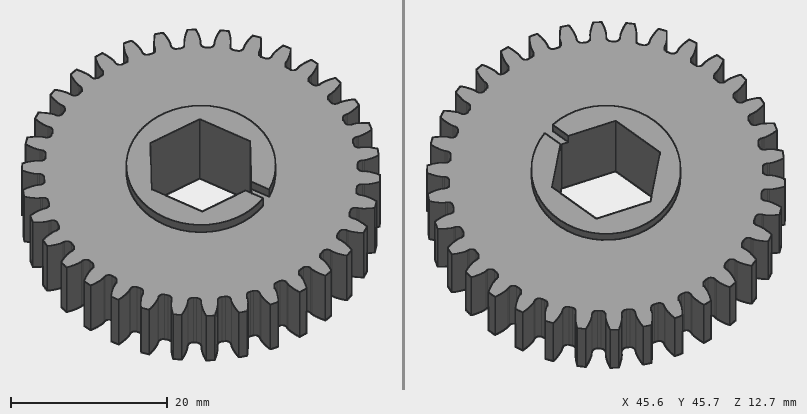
import cadquery as cq
import math

INCH = 25.4

TOOTH_COUNT = 34
DIAMETRAL_PITCH = 20
MODULE = INCH / DIAMETRAL_PITCH
PRESSURE_ANGLE = math.radians(14.5)
BACKLASH_ANGLE = math.radians(0.2)
DEDENDUM = 1.25 * MODULE
ROOT_FILLET = 0.65
FLANK_POINTS = 6

PITCH_RADIUS = MODULE * TOOTH_COUNT / 2
TIP_RADIUS = PITCH_RADIUS + MODULE
ROOT_RADIUS = PITCH_RADIUS - DEDENDUM
BASE_RADIUS = PITCH_RADIUS * math.cos(PRESSURE_ANGLE)
TOOTH_PITCH = 2 * math.pi / TOOTH_COUNT

TOTAL_HEIGHT = 12.65
GEAR_WIDTH = 0.375 * INCH
HUB_HEIGHT = (TOTAL_HEIGHT - GEAR_WIDTH) / 2
HUB_DIAMETER = 0.75 * INCH
HEX_SIDES = 6
HEX_ACROSS_FLATS = 12.75
SLOT_WIDTH = INCH / 16


def polar(radius, angle):
    """Plane point at a radius and an angle about the gear axis."""
    return (radius * math.cos(angle), radius * math.sin(angle))


def involute(angle):
    """Involute function of a pressure angle."""
    return math.tan(angle) - angle


def half_tooth_angle(radius):
    """Half of the angle a tooth spans between its involute flanks at a radius."""
    half_at_pitch = (TOOTH_PITCH / 2 - BACKLASH_ANGLE) / 2
    local_pressure_angle = math.acos(min(1, BASE_RADIUS / radius))
    return half_at_pitch + involute(PRESSURE_ANGLE) - involute(local_pressure_angle)


def gear_outline():
    """Closed outline: involute flanks, radial below the base circle, filleted into the root circle."""
    base_half = half_tooth_angle(BASE_RADIUS)
    tip_half = half_tooth_angle(TIP_RADIUS)

    fillet_center_radius = ROOT_RADIUS + ROOT_FILLET
    fillet_angle = math.asin(ROOT_FILLET / fillet_center_radius)
    fillet_top_radius = fillet_center_radius * math.cos(fillet_angle)
    root_half = base_half + fillet_angle
    middle_turn = (math.pi / 2 - fillet_angle) / 2

    tip_roll = math.sqrt((TIP_RADIUS / BASE_RADIUS) ** 2 - 1)
    roll_step = tip_roll / (FLANK_POINTS - 1)
    flank_radii = [BASE_RADIUS * math.hypot(1, i * roll_step) for i in range(FLANK_POINTS)]

    def fillet_middle(axis, side):
        """Middle point of the fillet arc on one side of a tooth."""
        center_angle = axis + side * root_half
        center = polar(fillet_center_radius, center_angle)
        offset = polar(ROOT_FILLET, center_angle + math.pi + side * middle_turn)
        return (center[0] + offset[0], center[1] + offset[1])

    first_axis = math.pi / 2
    outline = cq.Workplane("XY").workplane(offset=-GEAR_WIDTH / 2)
    outline = outline.moveTo(*polar(ROOT_RADIUS, first_axis - root_half))
    for i in range(TOOTH_COUNT):
        axis = first_axis + i * TOOTH_PITCH
        rising = [polar(r, axis - half_tooth_angle(r)) for r in flank_radii]
        falling = [polar(r, axis + half_tooth_angle(r)) for r in reversed(flank_radii)]
        rising_base = axis - base_half
        falling_base = axis + base_half
        rising_ends = [polar(1, rising_base), polar(1, rising_base + tip_roll)]
        falling_ends = [polar(-1, falling_base - tip_roll), polar(-1, falling_base)]
        next_gap = axis + TOOTH_PITCH / 2
        next_root = axis + TOOTH_PITCH - root_half
        outline = (
            outline
            .threePointArc(fillet_middle(axis, -1), polar(fillet_top_radius, rising_base))
            .lineTo(*rising[0])
            .spline(rising[1:], tangents=rising_ends, includeCurrent=True)
            .threePointArc(polar(TIP_RADIUS, axis), polar(TIP_RADIUS, axis + tip_half))
            .spline(falling[1:], tangents=falling_ends, includeCurrent=True)
            .lineTo(*polar(fillet_top_radius, falling_base))
            .threePointArc(fillet_middle(axis, 1), polar(ROOT_RADIUS, axis + root_half))
            .threePointArc(polar(ROOT_RADIUS, next_gap), polar(ROOT_RADIUS, next_root))
        )
    return outline.close()


def hubs():
    """Round hub through the gear, standing out equally from both faces."""
    return cq.Workplane("XY").circle(HUB_DIAMETER / 2).extrude(TOTAL_HEIGHT / 2, both=True)


def hex_bore():
    """Through bore with two corners on the X axis."""
    across_corners = HEX_ACROSS_FLATS / math.cos(math.pi / HEX_SIDES)
    return cq.Workplane("XY").polygon(HEX_SIDES, across_corners).extrude(TOTAL_HEIGHT / 2, both=True)


def hub_slot():
    """Slot from the bore out to +X, cut through the upper hub down to the gear face."""
    return (
        cq.Workplane("XY")
        .workplane(offset=GEAR_WIDTH / 2)
        .rect(HUB_DIAMETER, SLOT_WIDTH)
        .extrude(HUB_HEIGHT)
        .translate((HUB_DIAMETER / 2, 0, 0))
    )


gear = gear_outline().extrude(GEAR_WIDTH)
result = gear.union(hubs()).cut(hex_bore()).cut(hub_slot())